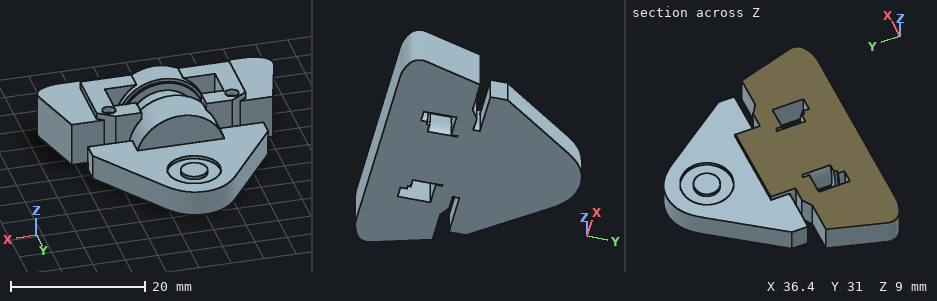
import math

import cadquery as cq

body_half_width = 18.195
body_depth = 12.0
body_height = 7.0
front_corner_radius = 6.0
front_corner_sweep = 29.5
side_corner_radius = 2.0
side_lean = 16.2

frame_half_width = 11.5
frame_front = 2.0
frame_back = 13.0
frame_height = 8.0
frame_chamfer_width = 2.5
frame_chamfer_depth = 1.65
window_half_width = 8.5
window_front = 5.0
window_back = 10.0
lug_gap_half_width = 5.0
pin_hole_radius = 1.0
pin_hole_x = 9.5
pin_hole_y = 11.0
pin_hole_depth = 1.0

plate_front = 14.0
plate_back = 31.0
plate_thickness = 4.0
plate_half_width = 13.55
nose_radius = 6.0
nose_half_sweep = 41.0
blend_radius = 10.0
flank_slope = 54.2
groove_y = 24.5
groove_outer_radius = 4.0
groove_inner_radius = 2.0
groove_depth = 0.5

axle_height = 2.0
roller_radius = 7.0
front_roller_back = 6.0
collar_radius = 6.5
collar_back = 6.45
hub_radius = 5.25
rear_roller_front = 11.0
rear_roller_back = 17.0


def radial_point(center, radius, angle):
    """Point on a circle, with the angle in degrees measured from +X."""
    turn = math.radians(angle)
    return (center[0] + radius * math.cos(turn), center[1] + radius * math.sin(turn))


def mirrored(point):
    return (-point[0], point[1])


def block(half_width, front, back, height):
    """Box standing on the base plane and centered on X."""
    return cq.Workplane("XY").box(
        2 * half_width, back - front, height, centered=(True, False, False)
    ).translate((0, front, 0))


def make_body():
    contact_angle = front_corner_sweep - 90
    side_center_x = body_half_width - side_corner_radius
    radius_step = front_corner_radius - side_corner_radius
    front_center = (
        side_center_x - radius_step * math.cos(math.radians(contact_angle)),
        front_corner_radius,
    )
    side_center = radial_point(front_center, radius_step, contact_angle)

    front_start = (front_center[0], 0)
    front_mid = radial_point(front_center, front_corner_radius, contact_angle - front_corner_sweep / 2)
    contact = radial_point(front_center, front_corner_radius, contact_angle)
    side_mid = radial_point(side_center, side_corner_radius, (contact_angle + side_lean) / 2)
    side_end = radial_point(side_center, side_corner_radius, side_lean)
    back_half_width = side_end[0] - (body_depth - side_end[1]) * math.tan(math.radians(side_lean))
    back_corner = (back_half_width, body_depth)

    return (
        cq.Workplane("XY")
        .moveTo(*front_start)
        .threePointArc(front_mid, contact)
        .threePointArc(side_mid, side_end)
        .lineTo(*back_corner)
        .lineTo(*mirrored(back_corner))
        .lineTo(*mirrored(side_end))
        .threePointArc(mirrored(side_mid), mirrored(contact))
        .threePointArc(mirrored(front_mid), mirrored(front_start))
        .close()
        .extrude(body_height)
    )


def make_frame():
    chamfer_x = frame_half_width - frame_chamfer_width
    chamfer_y = frame_back - frame_chamfer_depth
    return (
        cq.Workplane("XY")
        .polyline([
            (-frame_half_width, frame_front),
            (frame_half_width, frame_front),
            (frame_half_width, chamfer_y),
            (chamfer_x, frame_back),
            (-chamfer_x, frame_back),
            (-frame_half_width, chamfer_y),
        ])
        .close()
        .extrude(frame_height)
    )


def make_plate():
    contact_angle = 90 - nose_half_sweep
    flank_angle = 90 - flank_slope
    nose_center = (0, plate_back - nose_radius)
    blend_center = radial_point(nose_center, nose_radius - blend_radius, contact_angle)

    contact = radial_point(nose_center, nose_radius, contact_angle)
    blend_mid = radial_point(blend_center, blend_radius, (contact_angle + flank_angle) / 2)
    blend_end = radial_point(blend_center, blend_radius, flank_angle)
    flank_drop = (plate_half_width - blend_end[0]) * math.tan(math.radians(flank_slope))
    shoulder = (plate_half_width, blend_end[1] - flank_drop)
    front_corner = (plate_half_width, plate_front)

    plate = (
        cq.Workplane("XY")
        .moveTo(*mirrored(front_corner))
        .lineTo(*front_corner)
        .lineTo(*shoulder)
        .lineTo(*blend_end)
        .threePointArc(blend_mid, contact)
        .threePointArc((0, plate_back), mirrored(contact))
        .threePointArc(mirrored(blend_mid), mirrored(blend_end))
        .lineTo(*mirrored(shoulder))
        .close()
        .extrude(plate_thickness)
    )
    groove = (
        cq.Workplane("XY", origin=(0, groove_y, plate_thickness - groove_depth))
        .circle(groove_outer_radius)
        .circle(groove_inner_radius)
        .extrude(groove_depth)
    )
    return plate.cut(groove)


def make_roller(radius, front, back):
    """Cylinder about the axle, cut off flat at the base plane."""
    cylinder = cq.Workplane("XZ", origin=(0, front, axle_height)).circle(radius).extrude(front - back)
    return cylinder.intersect(block(radius, front, back, axle_height + radius))


def make_pin_holes():
    return (
        cq.Workplane("XY", origin=(0, pin_hole_y, frame_height - pin_hole_depth))
        .pushPoints([(-pin_hole_x, 0), (pin_hole_x, 0)])
        .circle(pin_hole_radius)
        .extrude(pin_hole_depth)
    )


window = block(window_half_width, window_front, window_back, frame_height)
lug_gap = block(lug_gap_half_width, window_back, frame_back, frame_height)

result = make_body().union(make_frame()).cut(window).cut(lug_gap).cut(make_pin_holes())
result = result.union(make_plate())
for radius, front, back in (
    (roller_radius, frame_front, front_roller_back),
    (collar_radius, front_roller_back, collar_back),
    (hub_radius, collar_back, rear_roller_front),
    (roller_radius, rear_roller_front, rear_roller_back),
):
    result = result.union(make_roller(radius, front, back))